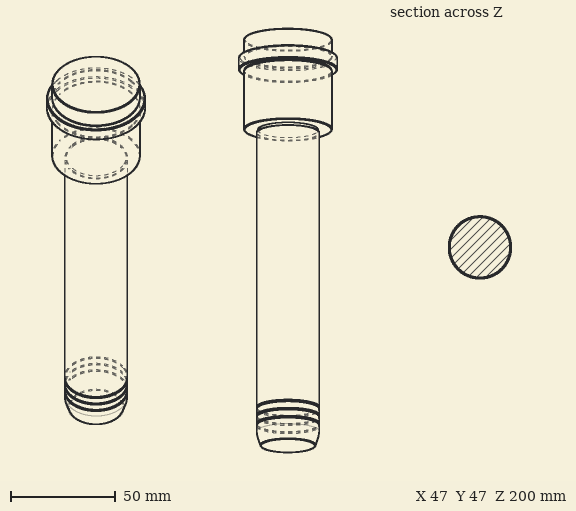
import cadquery as cq

total_length = 200.0
head_radius = 21.0
head_bottom = 155.5
head_chamfer = 0.5

collar_radius = 23.5
collar_bottom = 184.8
collar_top = 191.2
collar_chamfer = 0.5
relief_width = 0.5
relief_depth = 0.2

shaft_radius = 15.0
neck_radius = 14.5
neck_bottom = 154.0

groove_heights = (10.5, 14.5, 18.5)
groove_width = 1.0
groove_depth = 0.3

nose_height = 7.2
nose_end_radius = 13.2
nose_mid_radius = 14.5
nose_edge_height = 0.5
tip_radius = 12.8


def cylinder(radius, bottom, top):
    """Solid cylinder about Z between two heights."""
    return cq.Workplane("XY").workplane(offset=bottom).circle(radius).extrude(top - bottom)


def ring_groove(radius, depth, bottom, width):
    """Ring to cut a square groove into a cylinder of the given radius."""
    outer = cylinder(radius + depth, bottom, bottom + width)
    return outer.cut(cylinder(radius - depth, bottom, bottom + width))


def vee_groove(height):
    """Ring to cut a shallow V-shaped groove around the shaft."""
    half_width = groove_width / 2
    section = [
        (shaft_radius, height - half_width),
        (shaft_radius - groove_depth, height),
        (shaft_radius, height + half_width),
        (shaft_radius + groove_depth, height),
    ]
    return cq.Workplane("XZ").polyline(section).close().revolve(360, (0, 0, 0), (0, 1, 0))


def shaft():
    """Long pin with a convex tapered nose and a small neck below the head."""
    nose_mid_height = (nose_height + nose_edge_height) / 2
    profile = (
        cq.Workplane("XZ")
        .moveTo(0, 0)
        .lineTo(tip_radius, 0)
        .lineTo(nose_end_radius, nose_edge_height)
        .threePointArc((nose_mid_radius, nose_mid_height), (shaft_radius, nose_height))
        .lineTo(shaft_radius, neck_bottom)
        .lineTo(neck_radius, neck_bottom)
        .lineTo(neck_radius, head_bottom)
        .lineTo(0, head_bottom)
        .close()
    )
    body = profile.revolve(360, (0, 0, 0), (0, 1, 0))
    for height in groove_heights:
        body = body.cut(vee_groove(height))
    return body


def head():
    """Guide head, with relief grooves on both sides of its collar."""
    body = cylinder(head_radius, head_bottom, total_length).edges("%CIRCLE").chamfer(head_chamfer)
    for bottom in (collar_bottom - relief_width, collar_top):
        body = body.cut(ring_groove(head_radius, relief_depth, bottom, relief_width))
    collar = cylinder(collar_radius, collar_bottom, collar_top).edges("%CIRCLE").chamfer(collar_chamfer)
    return body.union(collar)


result = shaft().union(head())